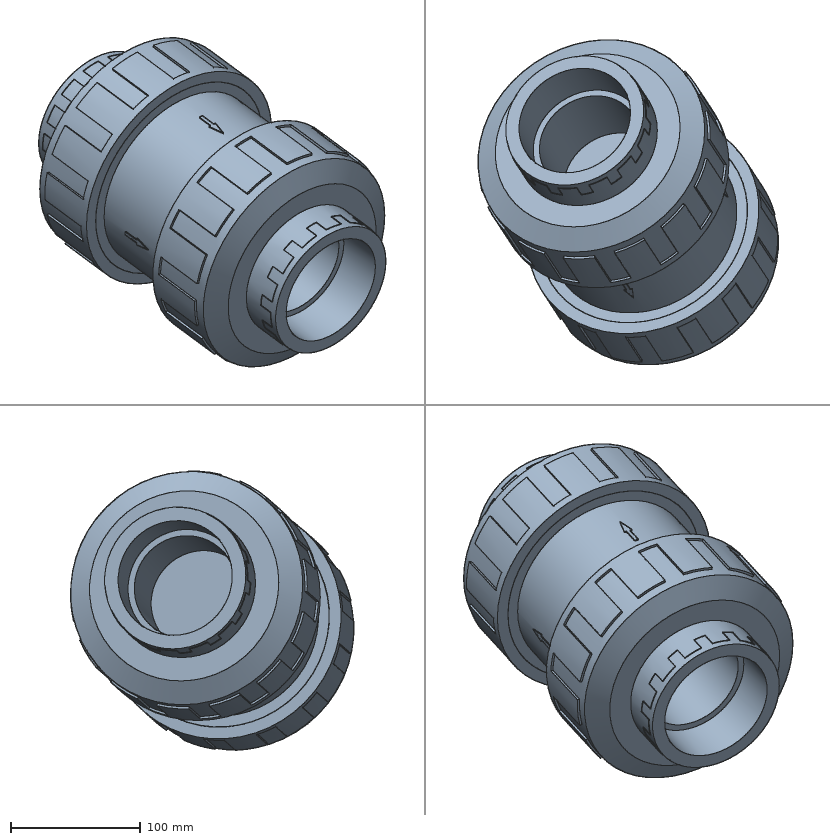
import cadquery as cq
import math

LENGTH = 285.0

NUT_BACK = 40.0
NUT_RECESS_END = 46.7
NUT_RIB_END = 90.0
NUT_CONE_START = 98.3
NUT_FRONT = 108.0
SOCKET_RECESS_END = 125.0
SOCKET_BAND_END = 137.0
END_FACE = LENGTH / 2

BODY_DIA = 151.3
NUT_DIA = 187.0
NUT_BASE_DIA = 183.3
NUT_FRONT_DIA = 149.3
SOCKET_BAND_DIA = 112.5
SOCKET_DIA = 111.5
SOCKET_BORE_DIA = 90.0
BORE_DIA = 80.0

GROOVE_OUTER_DIA = 168.5
GROOVE_INNER_DIA = 168.2
GROOVE_DEPTH = 1.5

SOCKET_DEPTH = 38.0
BORE_BOTTOM = NUT_BACK

RECESS_COUNT = 14
RECESS_ANGLE = 10.0
FIRST_RECESS = -7.8

CUT_MARGIN = 2.8

ARROW_COUNT = 4
ARROW_HALF_LENGTH = 13.7
ARROW_SHAFT_WIDTH = 3.0
ARROW_HEAD_WIDTH = 6.5
ARROW_HEIGHT = 0.9


def tube(start, end, outer_dia, inner_dia=None):
    """Cylinder or ring along X, from start to end."""
    sketch = cq.Workplane("YZ", origin=(start, 0, 0)).circle(outer_dia / 2)
    if inner_dia:
        sketch = sketch.circle(inner_dia / 2)
    return sketch.extrude(end - start)


def turn_about_axis(body, angle):
    """Turn a body about the valve axis, in degrees."""
    return body.rotate((0, 0, 0), (1, 0, 0), angle)


def grip_recesses(start, end, outer_dia, floor_dia):
    """Evenly spaced shallow recesses with radial walls around the axis."""
    ring = tube(start, end, outer_dia + CUT_MARGIN, floor_dia)
    reach = outer_dia
    half_width = reach * math.tan(math.radians(RECESS_ANGLE / 2))
    corners = [(0, 0), (reach, -half_width), (reach, half_width)]
    wedge = cq.Workplane("YZ", origin=(start, 0, 0)).polyline(corners).close().extrude(end - start)
    cutters = cq.Workplane()
    for index in range(RECESS_COUNT):
        angle = FIRST_RECESS + index * 360 / RECESS_COUNT
        cutters = cutters.add(ring.intersect(turn_about_axis(wedge, angle)))
    return cutters.combine()


def union_end():
    """Nut and pipe socket at the +X end."""
    profile = [
        (0, 0),
        (0, BODY_DIA / 2),
        (NUT_BACK, BODY_DIA / 2),
        (NUT_BACK, NUT_DIA / 2),
        (NUT_RIB_END, NUT_DIA / 2),
        (NUT_RIB_END, NUT_BASE_DIA / 2),
        (NUT_CONE_START, NUT_BASE_DIA / 2),
        (NUT_FRONT, NUT_FRONT_DIA / 2),
        (NUT_FRONT, SOCKET_BAND_DIA / 2),
        (SOCKET_BAND_END, SOCKET_BAND_DIA / 2),
        (SOCKET_BAND_END, SOCKET_DIA / 2),
        (END_FACE, SOCKET_DIA / 2),
        (END_FACE, 0),
    ]
    end = cq.Workplane("XY").polyline(profile).close().revolve(360, (0, 0, 0), (1, 0, 0))
    end = end.cut(grip_recesses(NUT_RECESS_END, NUT_RIB_END, NUT_DIA, NUT_BASE_DIA))
    end = end.cut(grip_recesses(SOCKET_RECESS_END, SOCKET_BAND_END, SOCKET_BAND_DIA, SOCKET_DIA))
    end = end.cut(tube(NUT_BACK, NUT_BACK + GROOVE_DEPTH, GROOVE_OUTER_DIA, GROOVE_INNER_DIA))
    end = end.cut(tube(END_FACE - SOCKET_DEPTH, END_FACE, SOCKET_BORE_DIA))
    return end.cut(tube(BORE_BOTTOM, END_FACE, BORE_DIA))


def flow_arrow():
    """Arrow on the top of the body, pointing to +X."""
    outline = [
        (-ARROW_HALF_LENGTH, -ARROW_SHAFT_WIDTH / 2),
        (0, -ARROW_SHAFT_WIDTH / 2),
        (0, -ARROW_HEAD_WIDTH / 2),
        (ARROW_HALF_LENGTH, 0),
        (0, ARROW_HEAD_WIDTH / 2),
        (0, ARROW_SHAFT_WIDTH / 2),
        (-ARROW_HALF_LENGTH, ARROW_SHAFT_WIDTH / 2),
    ]
    prism = cq.Workplane("XY").polyline(outline).close().extrude(NUT_DIA / 2)
    skin = tube(-NUT_BACK, NUT_BACK, BODY_DIA + 2 * ARROW_HEIGHT, BODY_DIA - 2 * ARROW_HEIGHT)
    return prism.intersect(skin)


right_end = union_end()
left_end = right_end.rotate((0, 0, 0), (0, 0, 1), 180)
result = right_end.union(left_end)
arrow = flow_arrow()
for index in range(ARROW_COUNT):
    result = result.union(turn_about_axis(arrow, index * 360 / ARROW_COUNT))